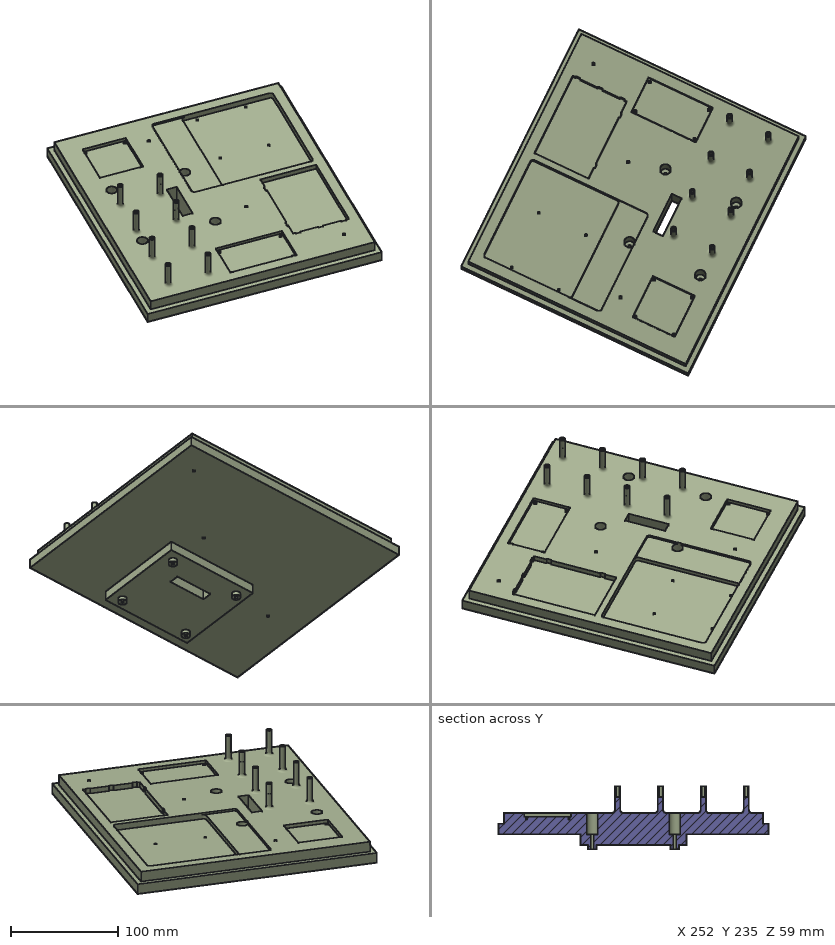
import cadquery as cq

base_length = 252.0
base_width = 235.0
stack_height = 30.0
layer_height = stack_height / 3
rim = 5.0
box_length = 99.0
box_width = 95.8
box_center_y = -51.5

top_z = 2 * layer_height
box_bottom_z = -layer_height

post_diameter = 5.0
post_height = 25.0
post_foot_radius = 3.0
post_bore_diameter = 2.5
post_bore_depth = 10.0
post_columns = 4
post_row_length = 120.0
post_pitch = post_row_length / (post_columns - 1)
post_rows = 2
first_post_x = -14.9
first_post_y = -88.7

foot_diameter = 8.0
foot_height = 4.0
screw_diameter = 2.8
counterbore_diameter = 10.0
counterbore_depth = 20.0
screw_spacing_x = 76.9
screw_spacing_y = 73.3
screw_center_y = -51.2

slot_length = 40.0
slot_width = 10.0
slot_center_y = -35.0

tray_left = -110.6
tray_right = -6.8
tray_back = 102.3
tray_step = 11.0
tray_front = -19.2
tray_corner_radius = 3.0
tray_shallow_depth = 2.0
tray_deep_depth = 6.0
tray_hole_diameter = 2.0
tray_hole_depth = 5.0
tray_hole_center = (-78.0, 50.0)
tray_hole_spacing = (58.0, 49.0)

notched_left = -0.8
notched_right = 81.5
notched_back = tray_back
notched_front = 46.4
notched_depth = 5.0
notch_width = 4.5
notch_reach = 1.0
right_notch_center_y = 74.0
right_notch_pitch = 23.0
front_notch_xs = (13.0, 66.8)

corner_hole_diameter = 2.5
corner_hole_depth = 2.5
tall_pocket_center = (92.5, 4.8)
tall_pocket_size = (36.5, 66.5)
tall_pocket_depth = 3.0
tall_hole_spacing = (31.0, 61.2)
square_pocket_center = (-80.1, -70.0)
square_pocket_side = 43.3
square_pocket_depth = 3.5
square_hole_spacing = 39.5

pilot_diameter = 2.5
pilot_points = [(100.0, 90.0), (29.7, 20.0), (-90.0, -30.0)]


def slab(left, right, front, back, bottom, top):
    """Axis-aligned block given by its six limits."""
    block = cq.Workplane("XY").box(right - left, back - front, top - bottom, centered=False)
    return block.translate((left, front, bottom))


def centered_slab(length, width, center, bottom, top):
    """Block given by its plan size, plan centre and height limits."""
    x, y = center
    return slab(x - length / 2, x + length / 2, y - width / 2, y + width / 2, bottom, top)


def cylinders(points, diameter, bottom, top):
    """Equal upright cylinders at the given plan points."""
    plane = cq.Workplane("XY", origin=(0, 0, bottom))
    return plane.pushPoints(points).circle(diameter / 2).extrude(top - bottom)


def corner_points(center, spacing_x, spacing_y):
    """The four corners of a rectangle around a plan centre."""
    x, y = center
    return [(x + i * spacing_x / 2, y + j * spacing_y / 2) for i in (-1, 1) for j in (-1, 1)]


def body():
    base = centered_slab(base_length, base_width, (0, 0), 0, layer_height)
    upper = centered_slab(base_length - 2 * rim, base_width - 2 * rim, (0, 0), layer_height, top_z)
    box = centered_slab(box_length, box_width, (0, box_center_y), box_bottom_z, 0)
    return base.union(upper).union(box)


def tray():
    shallow = slab(tray_left, tray_right, tray_front, tray_back, top_z - tray_shallow_depth, top_z)
    deep = slab(tray_left, tray_right, tray_step, tray_back, top_z - tray_deep_depth, top_z)
    rounded_shallow = shallow.edges("|Z").fillet(tray_corner_radius)
    rounded_deep = deep.edges("|Z").fillet(tray_corner_radius)
    floor_z = top_z - tray_deep_depth
    hole_points = corner_points(tray_hole_center, *tray_hole_spacing)
    holes = cylinders(hole_points, tray_hole_diameter, floor_z - tray_hole_depth, floor_z)
    return rounded_shallow.union(rounded_deep).union(holes)


def notched_pocket():
    floor_z = top_z - notched_depth
    pocket = slab(notched_left, notched_right, notched_front, notched_back, floor_z, top_z)
    for step in (-1, 0, 1):
        center = (notched_right, right_notch_center_y + step * right_notch_pitch)
        pocket = pocket.union(centered_slab(2 * notch_reach, notch_width, center, floor_z, top_z))
    for x in front_notch_xs:
        center = (x, notched_front)
        pocket = pocket.union(centered_slab(notch_width, 2 * notch_reach, center, floor_z, top_z))
    return pocket


def pocket_with_corner_holes(center, size, depth, hole_spacing):
    floor_z = top_z - depth
    pocket = centered_slab(*size, center, floor_z, top_z)
    hole_points = corner_points(center, *hole_spacing)
    holes = cylinders(hole_points, corner_hole_diameter, floor_z - corner_hole_depth, floor_z)
    return pocket.union(holes)


def post():
    """Bored post at the origin, flaring into the plate with a concave foot."""
    radius = post_diameter / 2
    bore_radius = post_bore_diameter / 2
    bore_floor = post_height - post_bore_depth
    root_z = -layer_height / 4
    foot_edge = radius + post_foot_radius
    arc_offset = post_foot_radius * (1 - 0.5**0.5)
    return (
        cq.Workplane("XZ")
        .moveTo(0, root_z)
        .lineTo(foot_edge, root_z)
        .lineTo(foot_edge, 0)
        .threePointArc((radius + arc_offset, arc_offset), (radius, post_foot_radius))
        .lineTo(radius, post_height)
        .lineTo(bore_radius, post_height)
        .lineTo(bore_radius, bore_floor)
        .lineTo(0, bore_floor)
        .close()
        .revolve(360, (0, 0, 0), (0, 1, 0))
    )


foot_bottom_z = box_bottom_z - foot_height
screw_points = corner_points((0, screw_center_y), screw_spacing_x, screw_spacing_y)

result = body()
result = result.union(cylinders(screw_points, foot_diameter, foot_bottom_z, box_bottom_z))
result = result.cut(cylinders(screw_points, screw_diameter, foot_bottom_z, top_z))
result = result.cut(cylinders(screw_points, counterbore_diameter, top_z - counterbore_depth, top_z))
result = result.cut(centered_slab(slot_length, slot_width, (0, slot_center_y), box_bottom_z, top_z))
result = result.cut(cylinders(pilot_points, pilot_diameter, 0, top_z))
result = result.cut(tray())
result = result.cut(notched_pocket())
result = result.cut(
    pocket_with_corner_holes(tall_pocket_center, tall_pocket_size, tall_pocket_depth, tall_hole_spacing)
)
result = result.cut(
    pocket_with_corner_holes(
        square_pocket_center,
        (square_pocket_side, square_pocket_side),
        square_pocket_depth,
        (square_hole_spacing, square_hole_spacing),
    )
)

for column in range(post_columns):
    for row in range(post_rows):
        x = first_post_x + column * post_pitch
        y = first_post_y + row * post_pitch
        result = result.union(post().translate((x, y, top_z)))